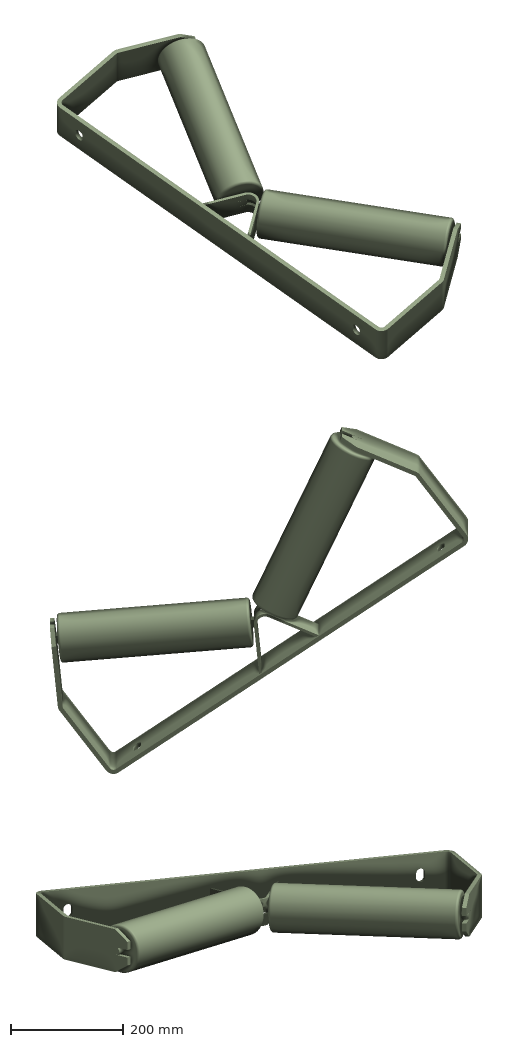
import cadquery as cq
import math

FRAME_WIDTH = 790.0
STRIP_HEIGHT = 80.0
STRIP_THICKNESS = 8.0
BEND_INNER_RADIUS = 8.0
ARM_ANGLE = 30.0
ARM_BEND_Y = 163.5
ARM_LENGTH = 150.0
ARM_TIP_HEIGHT = 44.0
ARM_TIP_TAPER = 29.0

MOUNT_SPACING = 666.0
MOUNT_SLOT_WIDTH = 17.0
MOUNT_SLOT_HEIGHT = 25.0

ROLLER_DIAMETER = 89.0
ROLLER_LENGTH = 345.0
ROLLER_EDGE_RADIUS = 5.0
ROLLER_TILT = 1.1
ROLLER_ALONG_ARM = 119.9
ROLLER_GAP = 5.2

SHAFT_DIAMETER = 20.0
SHAFT_FLATS = 14.0
SEAT_OVERRUN = 1.0

BRACKET_THICKNESS = 5.0
BRACKET_HEIGHT = 50.0
BRACKET_TOP_Z = 15.0
BRACKET_RIDGE_Y = 101.0
BRACKET_RIDGE_RADIUS = 20.0

HALF_WIDTH = FRAME_WIDTH / 2
BEND_OUTER_RADIUS = BEND_INNER_RADIUS + STRIP_THICKNESS
SIN_ARM = math.sin(math.radians(ARM_ANGLE))
COS_ARM = math.cos(math.radians(ARM_ANGLE))
TAN_HALF_ARM = math.tan(math.radians(ARM_ANGLE / 2))
TAN_TILT = math.tan(math.radians(ROLLER_TILT))
ROLLER_INSET = STRIP_THICKNESS + ROLLER_GAP
BRACKET_INNER_RADIUS = BRACKET_RIDGE_RADIUS - BRACKET_THICKNESS
RIDGE_CENTER_Y = BRACKET_RIDGE_Y - BRACKET_RIDGE_RADIUS
SHAFT_LENGTH = HALF_WIDTH * COS_ARM + (ARM_BEND_Y - RIDGE_CENTER_Y) * SIN_ARM - BRACKET_INNER_RADIUS


def mirrored(body):
    return body.mirror("YZ")


ARM_PLANE = cq.Plane(
    origin=(-HALF_WIDTH, ARM_BEND_Y, 0),
    xDir=(SIN_ARM, COS_ARM, 0),
    normal=(COS_ARM, -SIN_ARM, 0),
)
ROLLER_PLANE = cq.Plane(
    origin=ARM_PLANE.toWorldCoords((ROLLER_ALONG_ARM, 0, ROLLER_INSET)),
    xDir=(-SIN_ARM, -COS_ARM, 0),
    normal=(COS_ARM, -SIN_ARM, -TAN_TILT),
)


def make_shaft(overrun=0):
    """Shaft with two flats, lengthened at both ends by the overrun when it serves as a cutter."""
    flats = cq.Workplane(ROLLER_PLANE).box(SHAFT_DIAMETER, SHAFT_FLATS, 3 * SHAFT_LENGTH)
    round_bar = cq.Workplane(ROLLER_PLANE).workplane(offset=-ROLLER_INSET - overrun)
    return round_bar.circle(SHAFT_DIAMETER / 2).extrude(SHAFT_LENGTH + 2 * overrun).intersect(flats)


def make_roller():
    drum = cq.Workplane(ROLLER_PLANE).circle(ROLLER_DIAMETER / 2).extrude(ROLLER_LENGTH)
    return drum.edges("%CIRCLE").fillet(ROLLER_EDGE_RADIUS).union(make_shaft())


def make_half_strip():
    t = STRIP_THICKNESS
    inner_wall_x = t - HALF_WIDTH
    inner_bend_y = ARM_BEND_Y - t * TAN_HALF_ARM
    tip_outer = ARM_PLANE.toWorldCoords((ARM_LENGTH, 0, 0))
    tip_inner = ARM_PLANE.toWorldCoords((ARM_LENGTH, 0, t))
    strip = (
        cq.Workplane("XY")
        .moveTo(0, 0)
        .lineTo(-HALF_WIDTH, 0)
        .lineTo(-HALF_WIDTH, ARM_BEND_Y)
        .lineTo(tip_outer.x, tip_outer.y)
        .lineTo(tip_inner.x, tip_inner.y)
        .lineTo(inner_wall_x, inner_bend_y)
        .lineTo(inner_wall_x, t)
        .lineTo(0, t)
        .close()
        .extrude(STRIP_HEIGHT / 2, both=True)
    )
    bends = [
        (-HALF_WIDTH, 0, BEND_OUTER_RADIUS),
        (-HALF_WIDTH, ARM_BEND_Y, BEND_OUTER_RADIUS),
        (inner_wall_x, t, BEND_INNER_RADIUS),
        (inner_wall_x, inner_bend_y, BEND_INNER_RADIUS),
    ]
    for x, y, radius in bends:
        corner = cq.selectors.NearestToPointSelector((x, y, 0))
        strip = strip.edges(corner).fillet(radius)
    return strip


def make_tip_corners():
    """The two wedges that taper the arm's tip."""
    corner = (
        cq.Workplane(ARM_PLANE)
        .moveTo(ARM_LENGTH, STRIP_HEIGHT / 2)
        .lineTo(ARM_LENGTH - ARM_TIP_TAPER, STRIP_HEIGHT / 2)
        .lineTo(ARM_LENGTH, ARM_TIP_HEIGHT / 2)
        .close()
        .extrude(STRIP_THICKNESS)
    )
    return corner.union(corner.mirror("XY"))


def make_arm_slot():
    """Slot from the shaft's seat out through the arm's tip."""
    slot_length = ARM_LENGTH - ROLLER_ALONG_ARM
    return (
        cq.Workplane(ARM_PLANE)
        .center(ROLLER_ALONG_ARM + slot_length / 2, 0)
        .rect(slot_length, SHAFT_FLATS)
        .extrude(STRIP_THICKNESS)
    )


def make_frame():
    half = make_half_strip().cut(make_tip_corners()).cut(make_arm_slot()).cut(make_shaft(SEAT_OVERRUN))
    mount_slots = (
        cq.Workplane("XZ")
        .pushPoints([(-MOUNT_SPACING / 2, 0), (MOUNT_SPACING / 2, 0)])
        .slot2D(MOUNT_SLOT_HEIGHT, MOUNT_SLOT_WIDTH, 90)
        .extrude(-STRIP_THICKNESS)
    )
    return half.union(mirrored(half)).cut(mount_slots)


def make_ridge(radius):
    """Solid ridge standing on the frame's back, with a rounded top of the given radius."""
    tangent_x = radius * COS_ARM
    tangent_y = RIDGE_CENTER_Y + radius * SIN_ARM
    foot_x = tangent_x + (tangent_y - STRIP_THICKNESS) * SIN_ARM / COS_ARM
    return (
        cq.Workplane("XY", origin=(0, 0, BRACKET_TOP_Z))
        .moveTo(-foot_x, STRIP_THICKNESS)
        .lineTo(-tangent_x, tangent_y)
        .threePointArc((0, RIDGE_CENTER_Y + radius), (tangent_x, tangent_y))
        .lineTo(foot_x, STRIP_THICKNESS)
        .close()
        .extrude(-BRACKET_HEIGHT)
    )


def make_bracket_slot():
    """Slot across the whole ridge, from the shafts' seats up past the ridge's top."""
    seat = ROLLER_PLANE.toWorldCoords((0, 0, SHAFT_LENGTH - ROLLER_INSET - BRACKET_THICKNESS / 2))
    slot_depth = BRACKET_RIDGE_Y - seat.y
    return cq.Workplane("XY", origin=(0, seat.y + slot_depth / 2, seat.z)).box(
        FRAME_WIDTH, slot_depth, SHAFT_FLATS
    )


def make_bracket():
    folded = make_ridge(BRACKET_RIDGE_RADIUS).cut(make_ridge(BRACKET_INNER_RADIUS))
    seat = make_shaft(SEAT_OVERRUN)
    return folded.cut(make_bracket_slot()).cut(seat).cut(mirrored(seat))


frame = make_frame()
bracket = make_bracket()
left_roller = make_roller()
rollers = [left_roller, mirrored(left_roller)]

result = cq.Compound.makeCompound([frame.val(), bracket.val(), *[roller.val() for roller in rollers]])